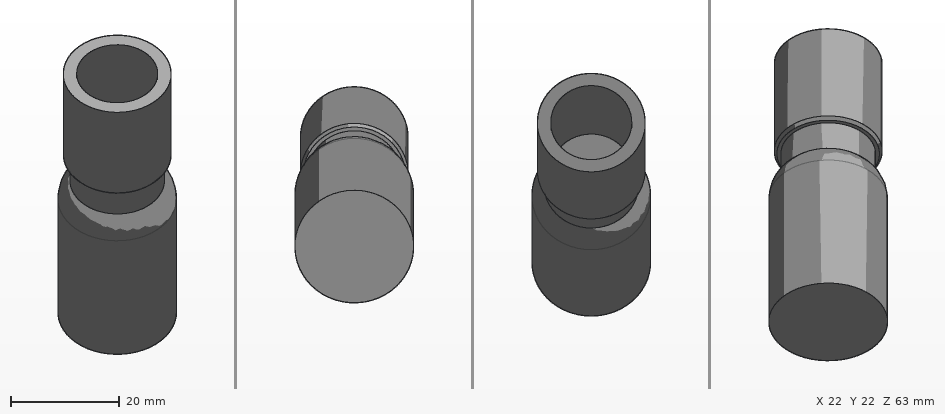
import cadquery as cq
import math

total_length = 63.0
body_radius = 22.0 / 2
neck_radius = 17.5 / 2
head_radius = 20.0 / 2
bore_diameter = 15.0

body_height = 30.05
head_bottom = 41.1
head_chamfer_width = 0.5
head_chamfer_height = 0.6

shoulder_radius = 6.3
shoulder_run = body_radius - neck_radius
shoulder_angle = math.acos(1 - shoulder_run / shoulder_radius)
neck_bottom = body_height + shoulder_radius * math.sin(shoulder_angle)
arc_center_radius = body_radius - shoulder_radius
shoulder_middle = (
    arc_center_radius + shoulder_radius * math.cos(shoulder_angle / 2),
    body_height + shoulder_radius * math.sin(shoulder_angle / 2),
)

bore_depth = total_length - head_bottom

outer_shape = (
    cq.Workplane("XZ")
    .moveTo(0, 0)
    .lineTo(body_radius, 0)
    .lineTo(body_radius, body_height)
    .threePointArc(shoulder_middle, (neck_radius, neck_bottom))
    .lineTo(neck_radius, head_bottom)
    .lineTo(head_radius - head_chamfer_width, head_bottom)
    .lineTo(head_radius, head_bottom + head_chamfer_height)
    .lineTo(head_radius, total_length)
    .lineTo(0, total_length)
    .close()
    .revolve(360, (0, 0, 0), (0, 1, 0))
)

result = outer_shape.faces(">Z").workplane().hole(bore_diameter, bore_depth)